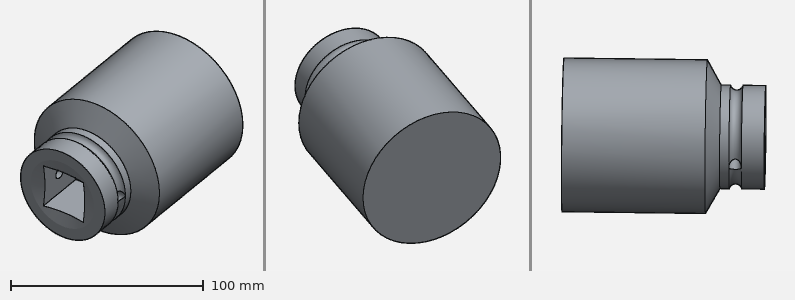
import cadquery as cq

length = 105.0
body_radius = 40.0
neck_radius = 27.0
half_length = length / 2
drive_face = -half_length

neck_length = 23.1
shoulder_end = 30.5

groove_distance = 15.0
groove_width = 6.5
groove_depth = 2.5
pin_diameter = 6.5

square_side = 25.4
square_depth = 29.4
lead_in_radius = 20.3
lead_in_depth = 1.9
lead_in_tip_radius = square_side / 2

groove_y = drive_face + groove_distance


def make_body():
    """Revolve the neck, round-bottomed groove, shoulder and body."""
    return (
        cq.Workplane("XY")
        .moveTo(0, drive_face)
        .lineTo(neck_radius, drive_face)
        .lineTo(neck_radius, groove_y - groove_width / 2)
        .threePointArc(
            (neck_radius - groove_depth, groove_y),
            (neck_radius, groove_y + groove_width / 2),
        )
        .lineTo(neck_radius, drive_face + neck_length)
        .lineTo(body_radius, drive_face + shoulder_end)
        .lineTo(body_radius, half_length)
        .lineTo(0, half_length)
        .close()
        .revolve(360, (0, 0, 0), (0, 1, 0))
    )


def make_square_recess():
    return cq.Workplane("XY").box(square_side, square_depth, square_side).translate(
        (0, drive_face + square_depth / 2, 0)
    )


def make_lead_in():
    """Cone narrowing from the drive face to the flats of the square."""
    return (
        cq.Workplane("XY")
        .moveTo(0, drive_face)
        .lineTo(lead_in_radius, drive_face)
        .lineTo(lead_in_tip_radius, drive_face + lead_in_depth)
        .lineTo(0, drive_face + lead_in_depth)
        .close()
        .revolve(360, (0, 0, 0), (0, 1, 0))
    )


def make_pin_hole():
    """Cross hole along X, through both walls of the neck."""
    return (
        cq.Workplane("YZ")
        .center(groove_y, 0)
        .circle(pin_diameter / 2)
        .extrude(neck_radius, both=True)
    )


result = make_body().cut(make_square_recess()).cut(make_lead_in()).cut(make_pin_hole())